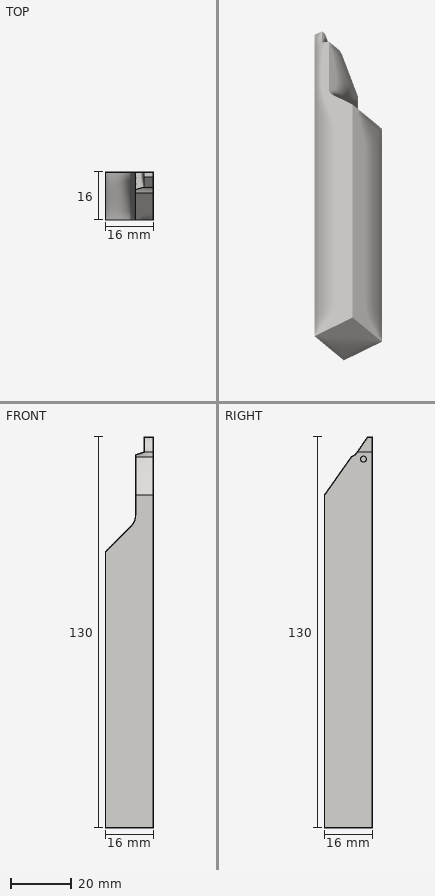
import cadquery as cq
import math

SHANK = 16.0
TOTAL_HEIGHT = 130.0

BLADE_THICKNESS = 6.0
SHOULDER_Z = 91.9
SHOULDER_RADIUS = 5.3
BLADE_SLOPE_Z = 110.8
NOSE_Z = 123.5
NOSE_DEPTH = 7.0

INSERT_WIDTH = 3.1
SEAT_Z = 125.0
INSERT_BASE_DEPTH = 5.1
INSERT_TIP_DEPTH = 1.7
SEAT_DROP = 0.9

PIN_DIAMETER = 2.0
PIN_DEPTH = 3.0
PIN_Z = 122.7

blade_x = SHANK - BLADE_THICKNESS
insert_x = SHANK - INSERT_WIDTH


def extrude_along_x(profile, start, length):
    """Extrude a closed YZ profile from X = start."""
    return profile.extrude(length).translate((start, 0, 0))


def make_pin():
    profile = cq.Workplane("YZ").center(-PIN_DEPTH, PIN_Z).circle(PIN_DIAMETER / 2)
    return extrude_along_x(profile, blade_x, BLADE_THICKNESS)


def make_insert():
    profile = (
        cq.Workplane("YZ")
        .moveTo(0, SEAT_Z)
        .lineTo(-INSERT_BASE_DEPTH, SEAT_Z)
        .lineTo(-INSERT_TIP_DEPTH, TOTAL_HEIGHT)
        .lineTo(0, TOTAL_HEIGHT)
        .close()
    )
    return extrude_along_x(profile, insert_x, INSERT_WIDTH)


def make_front_outline():
    """Shank, shoulder, blade and the blade top sloping down towards -X."""
    diagonal = math.sqrt(0.5)
    arc_start_x = blade_x - SHOULDER_RADIUS * (1 - diagonal)
    arc_start_z = SHOULDER_Z + arc_start_x
    arc_end_z = arc_start_z + SHOULDER_RADIUS * diagonal
    return (
        cq.Workplane("XZ")
        .moveTo(0, 0)
        .lineTo(0, SHOULDER_Z)
        .lineTo(arc_start_x, arc_start_z)
        .tangentArcPoint((blade_x, arc_end_z), relative=False)
        .lineTo(blade_x, SEAT_Z - SEAT_DROP)
        .lineTo(insert_x, SEAT_Z)
        .lineTo(SHANK, SEAT_Z)
        .lineTo(SHANK, 0)
        .close()
        .extrude(SHANK)
    )


def make_side_outline():
    """Sloping front face, with a hollow arc that continues the insert's front face."""
    arc = cq.Edge.makeTangentArc(
        cq.Vector(0, -INSERT_BASE_DEPTH, SEAT_Z),
        cq.Vector(0, INSERT_TIP_DEPTH - INSERT_BASE_DEPTH, SEAT_Z - TOTAL_HEIGHT),
        cq.Vector(0, -NOSE_DEPTH, NOSE_Z),
    )
    arc_middle = arc.positionAt(0.5)
    profile = (
        cq.Workplane("YZ")
        .moveTo(0, 0)
        .lineTo(0, SEAT_Z)
        .lineTo(-INSERT_BASE_DEPTH, SEAT_Z)
        .threePointArc((arc_middle.y, arc_middle.z), (-NOSE_DEPTH, NOSE_Z))
        .lineTo(-SHANK, BLADE_SLOPE_Z)
        .lineTo(-SHANK, 0)
        .close()
    )
    return extrude_along_x(profile, 0, SHANK)


def make_holder(pin):
    return make_front_outline().intersect(make_side_outline()).cut(pin)


pin = make_pin()
insert = make_insert()
holder = make_holder(pin)

result = cq.Compound.makeCompound([holder.val(), insert.val(), pin.val()])